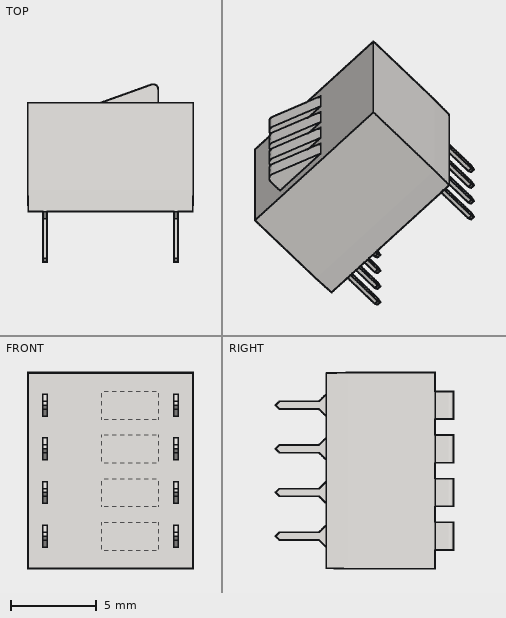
import cadquery as cq
import math


body_width = 9.65
body_height = 11.43
cover_depth = 5.08
base_depth = 1.27
base_draft = math.radians(1.5)
base_inset = base_depth * math.tan(base_draft)
body_top = base_depth + cover_depth

position_count = 4
pitch = 2.54
row_spacing = 7.62

pin_thickness = 0.25
pin_width = 0.46
pin_length = 2.94
shoulder_width = 1.27
shoulder_length = (shoulder_width - pin_width) / 2
tip_length = pin_width / 2

lever_width = 1.62
lever_rise = 1.07
lever_high_x = 2.78
lever_slope = math.radians(19.75)
lever_tip_radius = 0.3


def make_body():
    """Cover block and a base that draws in slightly on all four sides towards the mounting face."""
    foot_width = body_width - 2 * base_inset
    foot_height = body_height - 2 * base_inset
    base = (
        cq.Workplane("XZ")
        .rect(foot_width, foot_height)
        .workplane(offset=-base_depth)
        .rect(body_width, body_height)
        .loft(ruled=True)
    )
    cover = cq.Workplane("XY").box(body_width, cover_depth, body_height)
    cover = cover.translate((0, base_depth + cover_depth / 2, 0))
    return base.union(cover, clean=False)


def make_pin(x, z):
    """Flat pin with a flared shoulder at the base and a pointed tip."""
    half_pin = pin_width / 2
    half_shoulder = shoulder_width / 2
    outline = [
        (0, half_shoulder),
        (-shoulder_length, half_pin),
        (tip_length - pin_length, half_pin),
        (-pin_length, 0),
        (tip_length - pin_length, -half_pin),
        (-shoulder_length, -half_pin),
        (0, -half_shoulder),
    ]
    pin = cq.Workplane("YZ").polyline(outline).close().extrude(pin_thickness / 2, both=True)
    return pin.translate((x, 0, z))


def make_lever(z):
    """Wedge-shaped lever whose raised end is rounded by an arc tangent to both faces."""
    centre_x = lever_high_x - lever_tip_radius
    centre_y = body_top + lever_rise - lever_tip_radius
    slope_tangent = (
        centre_x - lever_tip_radius * math.sin(lever_slope),
        centre_y + lever_tip_radius * math.cos(lever_slope),
    )
    arc_middle = (centre_x, centre_y + lever_tip_radius)
    low_x = slope_tangent[0] - (slope_tangent[1] - body_top) / math.tan(lever_slope)
    lever = (
        cq.Workplane("XY")
        .moveTo(low_x, body_top)
        .lineTo(*slope_tangent)
        .threePointArc(arc_middle, (lever_high_x, centre_y))
        .lineTo(lever_high_x, body_top)
        .close()
        .extrude(lever_width / 2, both=True)
    )
    return lever.translate((0, 0, z))


result = make_body()
for position in range(position_count):
    position_z = (position - (position_count - 1) / 2) * pitch
    result = result.union(make_lever(position_z), clean=False)
    for side in (-1, 1):
        result = result.union(make_pin(side * row_spacing / 2, position_z), clean=False)